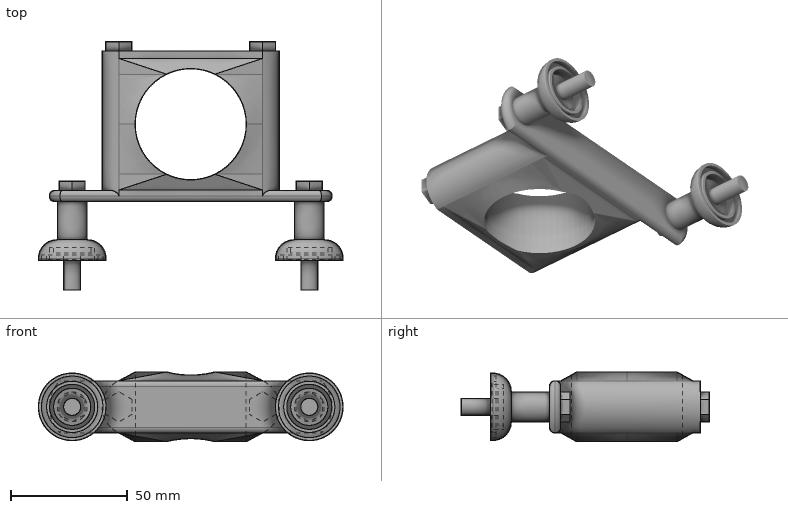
import cadquery as cq
import math

overall_length = 130.6
overall_depth = 106.4
bore_radius = 23.8

block_height = 22.3
block_half_height = block_height / 2
block_back = 31.5
flat_half_width = 30.8
block_half_width = 38.0

overall_height = 29.9
pad_top = overall_height / 2
pad_half_length = 28.2
pad_crest_y = 21.4
pad_crest_x = math.sqrt(bore_radius**2 - pad_crest_y**2)

plate_back = -28.3
plate_thickness = 4.8
plate_middle = plate_back - plate_thickness / 2
plate_half_length = 60.6
plate_corner_x = 56.0
plate_rounding = 0.98 * plate_thickness / 2

head_across_corners = 12.9
head_height = 3.9

foot_radius = 14.5
foot_x = overall_length / 2 - foot_radius
collar_radius = 6.4
dome_start = -49.5
dome_rounding = 8.0
rim_face = -58.4
pin_radius = 3.7
pin_end = block_back + head_height - overall_depth

groove_outer_radius = 13.2
groove_inner_radius = 11.0
groove_floor = rim_face + 2.4
ring_inner_radius = 9.7
ring_face = rim_face + 0.5
disc_radius = 8.0
disc_face = rim_face + 3.1
moat_floor = disc_face + 2.4


def extrude_bar(back, front, corner_x, end_x):
    """Bar as high as the block, extruded along Y, with both X ends bowed outward."""
    return (
        cq.Workplane("XZ", origin=(0, back, 0))
        .moveTo(-corner_x, -block_half_height)
        .lineTo(corner_x, -block_half_height)
        .threePointArc((end_x, 0), (corner_x, block_half_height))
        .lineTo(-corner_x, block_half_height)
        .threePointArc((-end_x, 0), (-corner_x, -block_half_height))
        .close()
        .extrude(back - front)
    )


def make_plate():
    plate = extrude_bar(plate_back, plate_back - plate_thickness, plate_corner_x, plate_half_length)
    return plate.faces("<Y or >Y").edges().fillet(plate_rounding)


def flat_face(points):
    return cq.Face.makeFromWires(cq.Wire.makePolygon(points, close=True))


def base_point(x, y):
    return cq.Vector(x, y, block_half_height)


def rim_point(x, y):
    return cq.Vector(x, y, pad_top)


def make_pad():
    """Pad on the block's top: sloping ends, and sides ruled from straight feet up to the bore rim."""
    half_arc_angle = math.asin(pad_crest_y / bore_radius) / 2
    arc_middle_x = bore_radius * math.cos(half_arc_angle)
    arc_middle_y = bore_radius * math.sin(half_arc_angle)
    faces = []
    rim_edges = []

    for side in (-1, 1):
        foot_line_x = side * flat_half_width
        for end in (-1, 1):
            crest_y = end * pad_crest_y
            crest = rim_point(side * pad_crest_x, crest_y)
            foot = base_point(foot_line_x, crest_y)
            rim_arc = cq.Edge.makeThreePointArc(
                rim_point(side * bore_radius, 0),
                rim_point(side * arc_middle_x, end * arc_middle_y),
                crest,
            )
            foot_line = cq.Edge.makeLine(base_point(foot_line_x, 0), foot)
            faces.append(cq.Face.makeRuledSurface(rim_arc, foot_line))
            faces.append(flat_face([foot, base_point(foot_line_x, end * pad_half_length), crest]))
            rim_edges.append(rim_arc)

    for end in (-1, 1):
        left_crest = rim_point(-pad_crest_x, end * pad_crest_y)
        right_crest = rim_point(pad_crest_x, end * pad_crest_y)
        left_corner = base_point(-flat_half_width, end * pad_half_length)
        right_corner = base_point(flat_half_width, end * pad_half_length)
        faces.append(flat_face([left_corner, right_corner, right_crest, left_crest]))
        rim_edges.append(cq.Edge.makeLine(left_crest, right_crest))

    faces.append(cq.Face.makeFromWires(cq.Wire.combine(rim_edges)[0]))
    side_stations = [-pad_half_length, -pad_crest_y, 0, pad_crest_y, pad_half_length]
    base_points = [base_point(-flat_half_width, y) for y in side_stations]
    base_points += [base_point(flat_half_width, y) for y in reversed(side_stations)]
    faces.append(flat_face(base_points))

    return cq.Workplane(cq.Solid.makeSolid(cq.Shell.makeShell(faces)).fix())


def make_clamp():
    """Block with a pad on top and bottom, bored through; it reaches the middle of the plate."""
    block = extrude_bar(block_back, plate_middle, flat_half_width, block_half_width)
    pad = make_pad()
    bore = cq.Workplane("XY").circle(bore_radius).extrude(overall_height, both=True)
    return block.union(pad).union(pad.mirror("XY")).cut(bore)


def make_head(x, y):
    """Bolt head standing on the +Y side of the seat at the given y."""
    return (
        cq.Workplane("XZ", origin=(x, y, 0))
        .transformed(rotate=(0, 0, 90))
        .polygon(6, head_across_corners)
        .extrude(-head_height)
    )


def make_foot(x):
    """Collar, dome, recess and pin, revolved about a line along Y."""
    dome_flat_radius = foot_radius - dome_rounding
    dome_end = dome_start - dome_rounding
    arc_offset = dome_rounding * math.sqrt(0.5)
    return (
        cq.Workplane("XY", origin=(x, 0, 0))
        .moveTo(0, plate_middle)
        .lineTo(collar_radius, plate_middle)
        .lineTo(collar_radius, dome_start)
        .lineTo(dome_flat_radius, dome_start)
        .threePointArc((dome_flat_radius + arc_offset, dome_end + arc_offset), (foot_radius, dome_end))
        .lineTo(foot_radius, rim_face)
        .lineTo(groove_outer_radius, rim_face)
        .lineTo(groove_outer_radius, groove_floor)
        .lineTo(groove_inner_radius, groove_floor)
        .lineTo(groove_inner_radius, ring_face)
        .lineTo(ring_inner_radius, ring_face)
        .lineTo(ring_inner_radius, moat_floor)
        .lineTo(disc_radius, moat_floor)
        .lineTo(disc_radius, disc_face)
        .lineTo(pin_radius, disc_face)
        .lineTo(pin_radius, pin_end)
        .lineTo(0, pin_end)
        .close()
        .revolve(360, (0, 0, 0), (0, 1, 0))
    )


result = make_clamp().union(make_plate())
for side in (-1, 1):
    result = result.union(make_head(side * flat_half_width, block_back))
    result = result.union(make_head(side * foot_x, plate_back))
    result = result.union(make_foot(side * foot_x))